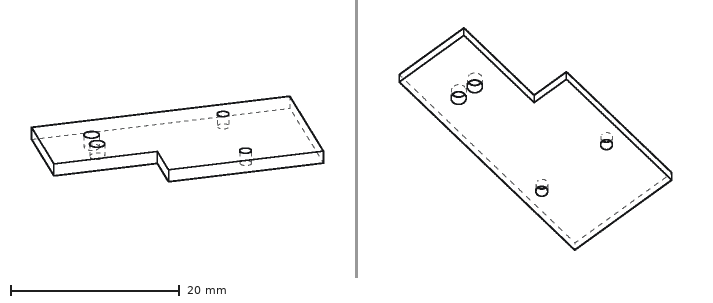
import cadquery as cq

GRID = 1.27

board_width = 12 * GRID
board_length = 25 * GRID
board_thickness = 1.6

tail_width = 8 * GRID
tail_length = 10 * GRID

small_hole_diameter = 1.4
small_hole_inset = 2 * GRID
small_hole_y = 18 * GRID
small_hole_centers = [
    (small_hole_inset, small_hole_y),
    (board_width - small_hole_inset, small_hole_y),
]

large_hole_diameter = 1.8
large_hole_pitch = 2 * GRID
large_hole_x = 3 * GRID
large_hole_y = 5 * GRID
large_hole_centers = [
    (large_hole_x, large_hole_y),
    (large_hole_x + large_hole_pitch, large_hole_y),
]


def make_board():
    """Flat plate with the +X, -Y corner notched away."""
    outline = [
        (0, 0),
        (tail_width, 0),
        (tail_width, tail_length),
        (board_width, tail_length),
        (board_width, board_length),
        (0, board_length),
    ]
    return cq.Workplane("XY").polyline(outline).close().extrude(board_thickness)


def make_pins(centers, diameter):
    """Cylinders through the board thickness, used to cut holes."""
    return cq.Workplane("XY").pushPoints(centers).circle(diameter / 2).extrude(board_thickness)


result = (
    make_board()
    .cut(make_pins(small_hole_centers, small_hole_diameter))
    .cut(make_pins(large_hole_centers, large_hole_diameter))
)